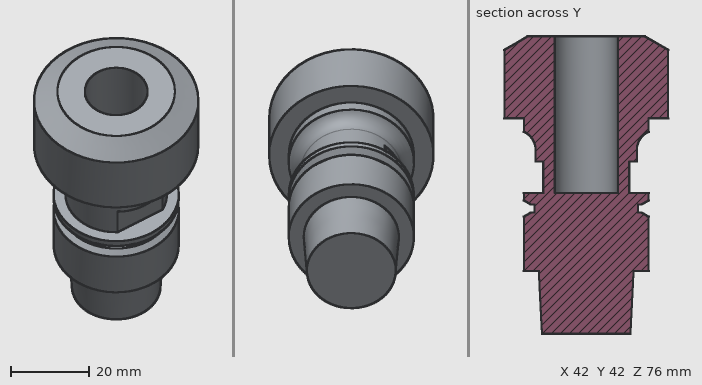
import cadquery as cq
import math

SHANK_LENGTH = 16.0
FLANGE_LENGTH = 20.0
NECK_LENGTH = 11.0
NUT_LENGTH = 21.0
TOTAL_LENGTH = 76.0

GAUGE_DIAMETER = 24.0
FLANGE_DIAMETER = 32.0
NECK_DIAMETER = 26.0
NUT_DIAMETER = 42.0
NUT_FACE_DIAMETER = 30.0
BORE_DIAMETER = 16.0

GAUGE_OFFSET = 3.2
TAPER_RATIO = 1 / 10

GROOVE_CENTRE_HEIGHT = 32.0
GROOVE_DIAMETER = 26.5
GROOVE_MOUTH_WIDTH = 4.1
GROOVE_FLOOR_WIDTH = 2.0
GROOVE_BEVEL_ANGLE = 30.0

FLARE_RADIUS = 5.0
NUT_BEVEL_ANGLE = 30.0
FLAT_SPACING = 22.0
FLAT_HEIGHT = 8.0
BORE_DEPTH = 40.0

flange_bottom = SHANK_LENGTH
flange_top = flange_bottom + FLANGE_LENGTH
flare_bottom = flange_top + NECK_LENGTH
nut_bottom = TOTAL_LENGTH - NUT_LENGTH

flange_radius = FLANGE_DIAMETER / 2
neck_radius = NECK_DIAMETER / 2

flare_centre_radius = neck_radius + FLARE_RADIUS
flare_sweep = math.acos((flare_centre_radius - flange_radius) / FLARE_RADIUS)
flare_top = flare_bottom + FLARE_RADIUS * math.sin(flare_sweep)


def revolve_profile(profile):
    """Revolve a closed (radius, height) outline about the Z axis."""
    return profile.close().revolve(360, (0, 0, 0), (0, 1, 0))


def shank_radius(distance_below_flange):
    diameter = GAUGE_DIAMETER + TAPER_RATIO * (GAUGE_OFFSET - distance_below_flange)
    return diameter / 2


def make_shank():
    return revolve_profile(
        cq.Workplane("XZ")
        .lineTo(shank_radius(SHANK_LENGTH), 0)
        .lineTo(shank_radius(0), flange_bottom)
        .lineTo(0, flange_bottom)
    )


def make_flange():
    """Flange with a gripper groove: beveled mouth, flat shoulders and a straight floor."""
    groove_radius = GROOVE_DIAMETER / 2
    half_mouth = GROOVE_MOUTH_WIDTH / 2
    half_floor = GROOVE_FLOOR_WIDTH / 2
    bevel_depth = (half_mouth - half_floor) / math.tan(math.radians(GROOVE_BEVEL_ANGLE))
    shoulder_radius = flange_radius - bevel_depth
    return revolve_profile(
        cq.Workplane("XZ")
        .moveTo(0, flange_bottom)
        .lineTo(flange_radius, flange_bottom)
        .lineTo(flange_radius, GROOVE_CENTRE_HEIGHT - half_mouth)
        .lineTo(shoulder_radius, GROOVE_CENTRE_HEIGHT - half_floor)
        .lineTo(groove_radius, GROOVE_CENTRE_HEIGHT - half_floor)
        .lineTo(groove_radius, GROOVE_CENTRE_HEIGHT + half_floor)
        .lineTo(shoulder_radius, GROOVE_CENTRE_HEIGHT + half_floor)
        .lineTo(flange_radius, GROOVE_CENTRE_HEIGHT + half_mouth)
        .lineTo(flange_radius, flange_top)
        .lineTo(0, flange_top)
    )


def make_neck():
    """Neck that flares in an arc, tangent to the neck, out to the collar under the nut."""
    arc_middle = (
        flare_centre_radius - FLARE_RADIUS * math.cos(flare_sweep / 2),
        flare_bottom + FLARE_RADIUS * math.sin(flare_sweep / 2),
    )
    return revolve_profile(
        cq.Workplane("XZ")
        .moveTo(0, flange_top)
        .lineTo(neck_radius, flange_top)
        .lineTo(neck_radius, flare_bottom)
        .threePointArc(arc_middle, (flange_radius, flare_top))
        .lineTo(flange_radius, nut_bottom)
        .lineTo(0, nut_bottom)
    )


def make_nut():
    nut_radius = NUT_DIAMETER / 2
    face_radius = NUT_FACE_DIAMETER / 2
    bevel_height = (nut_radius - face_radius) * math.tan(math.radians(NUT_BEVEL_ANGLE))
    return revolve_profile(
        cq.Workplane("XZ")
        .moveTo(0, nut_bottom)
        .lineTo(nut_radius, nut_bottom)
        .lineTo(nut_radius, TOTAL_LENGTH - bevel_height)
        .lineTo(face_radius, TOTAL_LENGTH)
        .lineTo(0, TOTAL_LENGTH)
    )


def make_flat_cutter(side):
    """Block that cuts one wrench flat; side is +1 or -1 along X."""
    depth = flange_radius - FLAT_SPACING / 2
    centre_x = side * (FLAT_SPACING + depth) / 2
    return (
        cq.Workplane("XY", origin=(centre_x, 0, flange_top))
        .rect(depth, FLANGE_DIAMETER)
        .extrude(FLAT_HEIGHT)
    )


def make_bore():
    return (
        cq.Workplane("XY", origin=(0, 0, TOTAL_LENGTH))
        .circle(BORE_DIAMETER / 2)
        .extrude(-BORE_DEPTH)
    )


result = make_shank().union(make_flange()).union(make_neck()).union(make_nut())
for flat_side in (-1, 1):
    result = result.cut(make_flat_cutter(flat_side))
result = result.cut(make_bore())